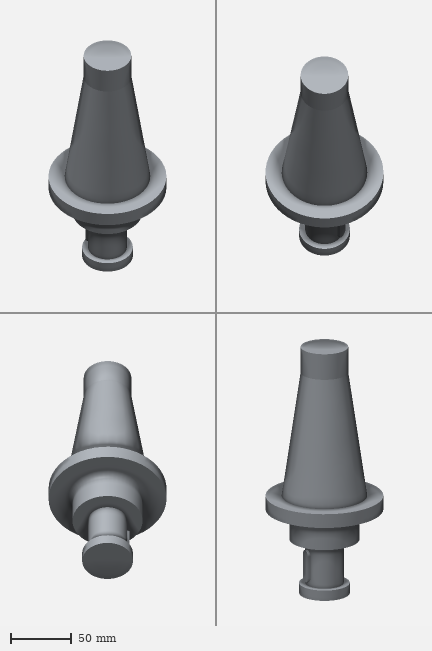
import cadquery as cq

CAP_HEIGHT = 9.0
PILOT_LENGTH = 38.0
COLLAR_HEIGHT = 26.0
FLANGE_THICKNESS = 12.0
TOTAL_HEIGHT = 214.8
END_PLUG_LENGTH = 22.3

CAP_DIAMETER = 42.0
PILOT_DIAMETER = 32.0
COLLAR_DIAMETER = 58.0
FLANGE_DIAMETER = 97.5
TAPER_BASE_DIAMETER = 70.8
END_PLUG_DIAMETER = 39.4

COLLAR_FILLET = 5.5

KEY_WIDTH = 8.5
KEY_LENGTH = 28.0
KEY_PROTRUSION = 2.0
KEY_BOTTOM_Z = 12.0

PILOT_Z = CAP_HEIGHT
COLLAR_Z = PILOT_Z + PILOT_LENGTH
FLANGE_Z = COLLAR_Z + COLLAR_HEIGHT
FLANGE_TOP_Z = FLANGE_Z + FLANGE_THICKNESS
END_PLUG_Z = TOTAL_HEIGHT - END_PLUG_LENGTH


def make_body():
    """Turned arbor: half profile in the XZ plane, revolved about Z."""
    collar_radius = COLLAR_DIAMETER / 2
    profile = (
        cq.Workplane("XZ")
        .moveTo(0, 0)
        .lineTo(CAP_DIAMETER / 2, 0)
        .lineTo(CAP_DIAMETER / 2, PILOT_Z)
        .lineTo(PILOT_DIAMETER / 2, PILOT_Z)
        .lineTo(PILOT_DIAMETER / 2, COLLAR_Z)
        .lineTo(collar_radius, COLLAR_Z)
        .lineTo(collar_radius, FLANGE_Z - COLLAR_FILLET)
        .radiusArc((collar_radius + COLLAR_FILLET, FLANGE_Z), COLLAR_FILLET)
        .lineTo(FLANGE_DIAMETER / 2, FLANGE_Z)
        .lineTo(FLANGE_DIAMETER / 2, FLANGE_TOP_Z)
        .lineTo(TAPER_BASE_DIAMETER / 2, FLANGE_TOP_Z)
        .lineTo(END_PLUG_DIAMETER / 2, END_PLUG_Z)
        .lineTo(END_PLUG_DIAMETER / 2, TOTAL_HEIGHT)
        .lineTo(0, TOTAL_HEIGHT)
        .close()
    )
    return profile.revolve(360, (0, 0, 0), (0, 1, 0))


def make_key():
    """Round-ended key standing on the pilot, rooted at the pilot's axis."""
    key_center_z = KEY_BOTTOM_Z + KEY_LENGTH / 2
    key_reach = PILOT_DIAMETER / 2 + KEY_PROTRUSION
    return (
        cq.Workplane("YZ")
        .center(0, key_center_z)
        .slot2D(KEY_LENGTH, KEY_WIDTH, 90)
        .extrude(-key_reach)
    )


result = make_body().union(make_key())